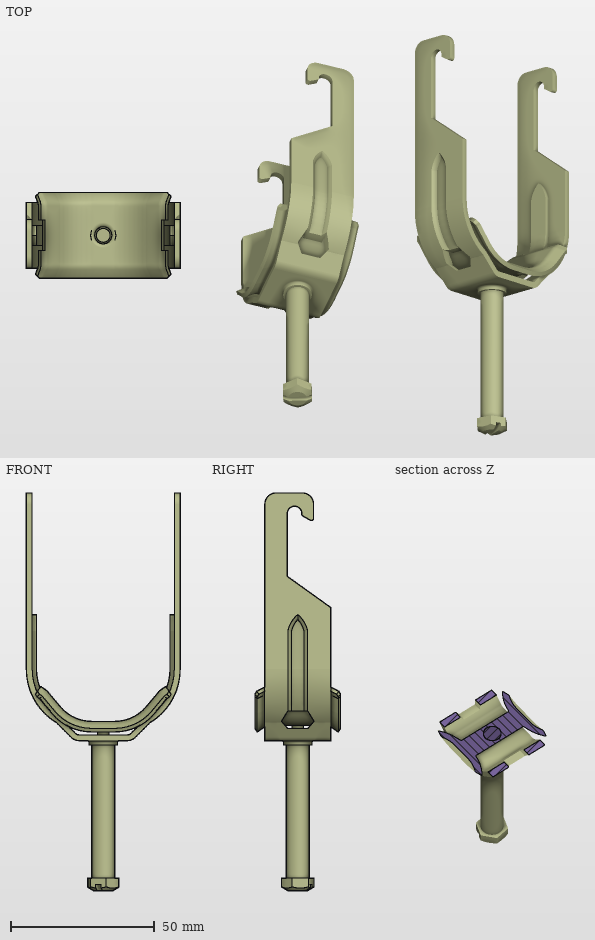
import cadquery as cq
import math

STRAP_THICKNESS = 2.1
STRAP_SPAN = 53.6
STRAP_HALF_SPAN = STRAP_SPAN / 2
STRAP_HALF_WIDTH = 11.5
STRAP_TOP = 61.4
SHOULDER_RADIUS = 21.8
BASE_Z = -25.0
BASE_INNER_Z = BASE_Z + STRAP_THICKNESS
BASE_HALF_LENGTH = 10.0
BASE_BEND_RADIUS = 3.9
FLANK_ANGLE = 45.0
SHOULDER_CENTRE = STRAP_HALF_SPAN - SHOULDER_RADIUS

NECK_Y = -3.6
SHELF_LOW_Z = 21.5
SHELF_HIGH_Z = 32.3
HOOK_TIP_Y = 5.5
HOOK_CORNER_RADIUS = 4.0
THROAT_RADIUS = 2.5
THROAT_Z = 54.2
TIP_INNER_Z = 53.5
TIP_OUTER_Z = 51.1
TIP_INNER_ROUND = 0.5
TIP_OUTER_ROUND = 0.8

RIB_DEPTH = 1.5
RIB_HALF_WIDTH = 3.5
RIB_FLOOR_HALF_WIDTH = 2.2
RIB_SPRING_Z = 13.2
RIB_ARCH_HEIGHT = 5.8
RIB_ARCH_BULGE = 0.4

WINDOW_TOP_Z = -14.5
WINDOW_WIDE_Z = -18.2
WINDOW_BOTTOM_Z = -20.7
WINDOW_WIDE_HALF_WIDTH = 5.7

COLLAR_DIAMETER = 10.0
COLLAR_BOTTOM_Z = -26.5
COLLAR_ROOT_FILLET = 0.5

SADDLE_THICKNESS = 1.5
SADDLE_FLOOR_Z = -18.2
SADDLE_UNDERSIDE_Z = SADDLE_FLOOR_Z - SADDLE_THICKNESS
SADDLE_HALF_WIDTH = 15.0
SADDLE_FLAT_HALF_WIDTH = 10.3
LIP_ANGLE = 33.0
LIP_BEND_RADIUS = 3.0
SADDLE_FLAT_HALF_LENGTH = 4.0
SADDLE_ARC_RADIUS = 14.3
SADDLE_ARC_ANGLE = 50.0
SADDLE_WING_LENGTH = 6.8
END_BEND_RADIUS = 3.6
END_BEND_ANGLE = 15.0
END_LENGTH = 2.1
CORNER_CUT = 1.7
NOTCH_WIDTH = 10.7
NOTCH_DEPTH = 1.7
SADDLE_HOLE_DIAMETER = 6.0
SADDLE_HOLE_ROUND = 1.4

SHANK_DIAMETER = 8.0
NECK_DIAMETER = 4.0
RIVET_CHAMFER = 0.5
RIVET_TOP_Z = -18.7
HEAD_TOP_Z = -72.8
HEAD_BOTTOM_Z = -77.2
HEAD_ACROSS_FLATS = 10.0
HEAD_TURN = -80.0
HALF_FLAT_ANGLE = 30.0
HEAD_FACE_DIAMETER = 6.7
HEAD_CHAMFER_ANGLE = 30.0
SLOT_WIDTH = 2.0
SLOT_DEPTH = 2.2

FAR = 138.6


def cylinder(diameter, low_z, high_z):
    """Upright cylinder on the Z axis."""
    return cq.Workplane("XY", origin=(0, 0, low_z)).circle(diameter / 2).extrude(high_z - low_z)


def mirrored_pair(shape):
    """The -X shape together with its +X mirror image."""
    return shape.union(shape.mirror("YZ"))


def strap_core(inset):
    """Prism inside the strap's outer surface moved inward by `inset`."""
    span = STRAP_HALF_SPAN - inset
    radius = SHOULDER_RADIUS - inset
    base_z = BASE_Z + inset
    base_half = BASE_HALF_LENGTH - inset * math.tan(math.radians(FLANK_ANGLE / 2))
    half_sum = (SHOULDER_CENTRE - base_half + base_z) / 2
    half_gap = math.sqrt(radius**2 / 2 - half_sum**2)
    kink_angle = math.atan2(half_gap - half_sum, -half_sum - half_gap)

    def on_shoulder(angle):
        return -SHOULDER_CENTRE - radius * math.cos(angle), -radius * math.sin(angle)

    half = (
        cq.Workplane("XZ")
        .moveTo(0, STRAP_TOP)
        .lineTo(-span, STRAP_TOP)
        .lineTo(-span, 0)
        .threePointArc(on_shoulder(kink_angle / 2), on_shoulder(kink_angle))
        .lineTo(-base_half, base_z)
        .lineTo(0, base_z)
        .close()
        .extrude(STRAP_HALF_WIDTH, both=True)
    )
    core = mirrored_pair(half)
    return core.edges("|Y").edges("<Z").fillet(BASE_BEND_RADIUS - inset)


def arm_outline():
    """Prism along X with the outline of the hooked arms and the strip below them."""
    throat_y = NECK_Y + THROAT_RADIUS
    inner_tip_y = throat_y + THROAT_RADIUS
    outline = (
        cq.Workplane("YZ")
        .moveTo(-STRAP_HALF_WIDTH, BASE_Z)
        .lineTo(-STRAP_HALF_WIDTH, STRAP_TOP)
        .lineTo(HOOK_TIP_Y, STRAP_TOP)
        .lineTo(HOOK_TIP_Y, TIP_OUTER_Z)
        .lineTo(inner_tip_y, TIP_INNER_Z)
        .lineTo(inner_tip_y, THROAT_Z)
        .threePointArc((throat_y, THROAT_Z + THROAT_RADIUS), (NECK_Y, THROAT_Z))
        .lineTo(NECK_Y, SHELF_HIGH_Z)
        .lineTo(STRAP_HALF_WIDTH, SHELF_LOW_Z)
        .lineTo(STRAP_HALF_WIDTH, BASE_Z)
        .close()
        .extrude(STRAP_HALF_SPAN, both=True)
    )

    def edge_near(y, z):
        return cq.selectors.NearestToPointSelector((0, y, z))

    outline = outline.edges("|X").edges(">Z").fillet(HOOK_CORNER_RADIUS)
    outline = outline.edges("|X").edges(edge_near(HOOK_TIP_Y, TIP_OUTER_Z)).fillet(TIP_OUTER_ROUND)
    return outline.edges("|X").edges(edge_near(inner_tip_y, TIP_INNER_Z)).fillet(TIP_INNER_ROUND)


def rib_form(surface_inset, floor_half_width):
    """Rib rising inward from the -X arm's surface at `surface_inset` and running down the shoulder."""
    start_x = -STRAP_HALF_SPAN + surface_inset
    wide = RIB_HALF_WIDTH
    narrow = floor_half_width
    wall_angle = math.degrees(math.atan2(wide - narrow, RIB_DEPTH))
    apex_z = RIB_SPRING_Z + RIB_ARCH_HEIGHT
    side_mid = (wide / 2 + RIB_ARCH_BULGE, RIB_SPRING_Z + RIB_ARCH_HEIGHT / 2 + RIB_ARCH_BULGE)
    straight = (
        cq.Workplane("YZ", origin=(start_x, 0, 0))
        .moveTo(-wide, -RIB_ARCH_HEIGHT)
        .lineTo(-wide, RIB_SPRING_Z)
        .threePointArc((-side_mid[0], side_mid[1]), (0, apex_z))
        .threePointArc(side_mid, (wide, RIB_SPRING_Z))
        .lineTo(wide, -RIB_ARCH_HEIGHT)
        .close()
        .extrude(RIB_DEPTH, taper=wall_angle)
        .intersect(cq.Workplane("XY").box(FAR, FAR, FAR, centered=(True, True, False)))
    )
    sweep_angle = math.degrees(math.asin(-WINDOW_WIDE_Z / SHOULDER_RADIUS))
    curved = (
        cq.Workplane("XY")
        .polyline(
            [
                (start_x, -wide),
                (start_x + RIB_DEPTH, -narrow),
                (start_x + RIB_DEPTH, narrow),
                (start_x, wide),
            ]
        )
        .close()
        .revolve(sweep_angle, (-SHOULDER_CENTRE, 1.4, 0), (-SHOULDER_CENTRE, 0, 0))
    )
    return straight.union(curved)


def rib_window():
    """Opening on the -X side where each rib runs out."""
    return (
        cq.Workplane("YZ", origin=(-STRAP_HALF_SPAN, 0, 0))
        .polyline(
            [
                (-RIB_HALF_WIDTH, WINDOW_TOP_Z),
                (RIB_HALF_WIDTH, WINDOW_TOP_Z),
                (WINDOW_WIDE_HALF_WIDTH, WINDOW_WIDE_Z),
                (RIB_HALF_WIDTH, WINDOW_BOTTOM_Z),
                (-RIB_HALF_WIDTH, WINDOW_BOTTOM_Z),
                (-WINDOW_WIDE_HALF_WIDTH, WINDOW_WIDE_Z),
            ]
        )
        .close()
        .extrude(STRAP_HALF_SPAN - BASE_HALF_LENGTH)
    )


def make_strap():
    strap = strap_core(0).cut(strap_core(STRAP_THICKNESS)).intersect(arm_outline())
    strap = strap.union(mirrored_pair(rib_form(STRAP_THICKNESS, RIB_HALF_WIDTH)))
    strap = strap.cut(mirrored_pair(rib_form(0, RIB_FLOOR_HALF_WIDTH)))
    strap = strap.cut(mirrored_pair(rib_window()))
    strap = strap.union(cylinder(COLLAR_DIAMETER, COLLAR_BOTTOM_Z, BASE_INNER_Z))
    root = cq.selectors.NearestToPointSelector((COLLAR_DIAMETER / 2, 0, BASE_Z))
    strap = strap.edges("%CIRCLE").edges(root).fillet(COLLAR_ROOT_FILLET)
    return strap.cut(cylinder(SHANK_DIAMETER, COLLAR_BOTTOM_Z, BASE_INNER_Z))


def turned(angle_deg, radius):
    """Run and rise of a tangent arc that starts level and turns upward."""
    angle = math.radians(angle_deg)
    return radius * math.sin(angle), radius * (1 - math.cos(angle))


def lip_side(depth):
    """Bend start, middle and end, and lip tip, as (Y, Z) on the surface `depth` below the top."""
    radius = LIP_BEND_RADIUS - depth
    start = (SADDLE_FLAT_HALF_WIDTH, SADDLE_FLOOR_Z - depth)
    points = [start]
    for angle in (LIP_ANGLE / 2, LIP_ANGLE):
        run, drop = turned(angle, radius)
        points.append((start[0] + run, start[1] - drop))
    slope = math.radians(LIP_ANGLE)
    top_run = turned(LIP_ANGLE, LIP_BEND_RADIUS)[0]
    length = (SADDLE_HALF_WIDTH - SADDLE_FLAT_HALF_WIDTH - top_run) / math.cos(slope)
    end_y, end_z = points[-1]
    points.append((end_y + length * math.cos(slope), end_z - length * math.sin(slope)))
    return points


def saddle_hole():
    """Cutter for the middle hole, with a rounded upper rim."""
    radius = SADDLE_HOLE_DIAMETER / 2
    rim_radius = radius + SADDLE_HOLE_ROUND
    round_start_z = SADDLE_FLOOR_Z - SADDLE_HOLE_ROUND
    round_mid = SADDLE_HOLE_ROUND * (1 - math.sqrt(0.5))
    return (
        cq.Workplane("XZ")
        .moveTo(0, SADDLE_UNDERSIDE_Z)
        .lineTo(radius, SADDLE_UNDERSIDE_Z)
        .lineTo(radius, round_start_z)
        .threePointArc((radius + round_mid, SADDLE_FLOOR_Z - round_mid), (rim_radius, SADDLE_FLOOR_Z))
        .lineTo(rim_radius, SADDLE_FLOOR_Z + SADDLE_THICKNESS)
        .lineTo(0, SADDLE_FLOOR_Z + SADDLE_THICKNESS)
        .close()
        .revolve()
    )


def saddle_path():
    """Path of the top surface from the middle to the -X end, with its end point and end slope."""
    arc_mid = turned(SADDLE_ARC_ANGLE / 2, SADDLE_ARC_RADIUS)
    arc_end = turned(SADDLE_ARC_ANGLE, SADDLE_ARC_RADIUS)
    wing_slope = math.radians(SADDLE_ARC_ANGLE)
    end_slope = math.radians(SADDLE_ARC_ANGLE - END_BEND_ANGLE)
    mid_slope = (wing_slope + end_slope) / 2

    flat_end = (-SADDLE_FLAT_HALF_LENGTH, SADDLE_FLOOR_Z)
    arc_mid_point = (flat_end[0] - arc_mid[0], flat_end[1] + arc_mid[1])
    arc_end_point = (flat_end[0] - arc_end[0], flat_end[1] + arc_end[1])
    wing_end = (
        arc_end_point[0] - SADDLE_WING_LENGTH * math.cos(wing_slope),
        arc_end_point[1] + SADDLE_WING_LENGTH * math.sin(wing_slope),
    )

    def on_end_bend(slope):
        return (
            wing_end[0] - END_BEND_RADIUS * (math.sin(wing_slope) - math.sin(slope)),
            wing_end[1] + END_BEND_RADIUS * (math.cos(slope) - math.cos(wing_slope)),
        )

    bend_end = on_end_bend(end_slope)
    tip = (
        bend_end[0] - END_LENGTH * math.cos(end_slope),
        bend_end[1] + END_LENGTH * math.sin(end_slope),
    )
    path = (
        cq.Workplane("XZ")
        .moveTo(0, SADDLE_FLOOR_Z)
        .lineTo(*flat_end)
        .threePointArc(arc_mid_point, arc_end_point)
        .lineTo(*wing_end)
        .threePointArc(on_end_bend(mid_slope), bend_end)
        .lineTo(*tip)
    )
    return path, tip, end_slope


def lipped_section():
    """Cross-section of the saddle at its middle, with a lip sloping down on each side."""

    def flipped(point):
        return -point[0], point[1]

    top = lip_side(0)
    under = lip_side(SADDLE_THICKNESS)
    return (
        cq.Workplane("YZ")
        .moveTo(*flipped(top[0]))
        .lineTo(*top[0])
        .threePointArc(top[1], top[2])
        .lineTo(*top[3])
        .lineTo(*under[3])
        .lineTo(*under[2])
        .threePointArc(under[1], under[0])
        .lineTo(*flipped(under[0]))
        .threePointArc(flipped(under[1]), flipped(under[2]))
        .lineTo(*flipped(under[3]))
        .lineTo(*flipped(top[3]))
        .lineTo(*flipped(top[2]))
        .threePointArc(flipped(top[1]), flipped(top[0]))
        .close()
    )


def make_saddle():
    path, tip, end_slope = saddle_path()
    half = lipped_section().sweep(path)
    notch = (
        cq.Workplane("XY")
        .box(2 * NOTCH_DEPTH, NOTCH_WIDTH, 4 * SADDLE_THICKNESS)
        .rotate((0, 0, 0), (0, 1, 0), math.degrees(end_slope))
        .translate((tip[0], 0, tip[1]))
    )
    saddle = mirrored_pair(half.cut(notch))
    bounds = saddle.val().BoundingBox()
    corner_trim = (
        cq.Workplane("XY")
        .rect(bounds.xlen, bounds.ylen)
        .extrude(FAR, both=True)
        .edges("|Z")
        .chamfer(CORNER_CUT)
    )
    saddle = saddle.intersect(corner_trim)
    return saddle.cut(saddle_hole())


def screw_head():
    """Hexagon head with a chamfered end face and a driving slot across it."""
    corner_radius = HEAD_ACROSS_FLATS / math.sqrt(3)
    face_radius = HEAD_FACE_DIAMETER / 2
    chamfer_rise = (corner_radius - face_radius) * math.tan(math.radians(HEAD_CHAMFER_ANGLE))
    envelope = (
        cq.Workplane("XZ")
        .polyline(
            [
                (0, HEAD_BOTTOM_Z),
                (face_radius, HEAD_BOTTOM_Z),
                (corner_radius, HEAD_BOTTOM_Z + chamfer_rise),
                (corner_radius, HEAD_TOP_Z),
                (0, HEAD_TOP_Z),
            ]
        )
        .close()
        .revolve()
    )
    head = (
        cq.Workplane("XY", origin=(0, 0, HEAD_BOTTOM_Z))
        .polygon(6, 2 * corner_radius)
        .extrude(HEAD_TOP_Z - HEAD_BOTTOM_Z)
        .rotate((0, 0, 0), (0, 0, 1), HEAD_TURN)
        .intersect(envelope)
    )
    slot = (
        cq.Workplane("XY", origin=(0, 0, HEAD_BOTTOM_Z))
        .rect(FAR, SLOT_WIDTH)
        .extrude(SLOT_DEPTH)
        .rotate((0, 0, 0), (0, 0, 1), HEAD_TURN - HALF_FLAT_ANGLE)
    )
    return head.cut(slot)


def make_screw():
    shank = cylinder(SHANK_DIAMETER, HEAD_TOP_Z, BASE_INNER_Z)
    neck = cylinder(NECK_DIAMETER, BASE_INNER_Z, SADDLE_UNDERSIDE_Z)
    rivet = cylinder(SADDLE_HOLE_DIAMETER, SADDLE_UNDERSIDE_Z, RIVET_TOP_Z)
    rivet = rivet.faces(">Z").chamfer(RIVET_CHAMFER)
    return shank.union(neck).union(rivet).union(screw_head())


strap = make_strap()
saddle = make_saddle()
screw = make_screw()
result = cq.Compound.makeCompound([strap.solids().val(), saddle.solids().val(), screw.solids().val()])